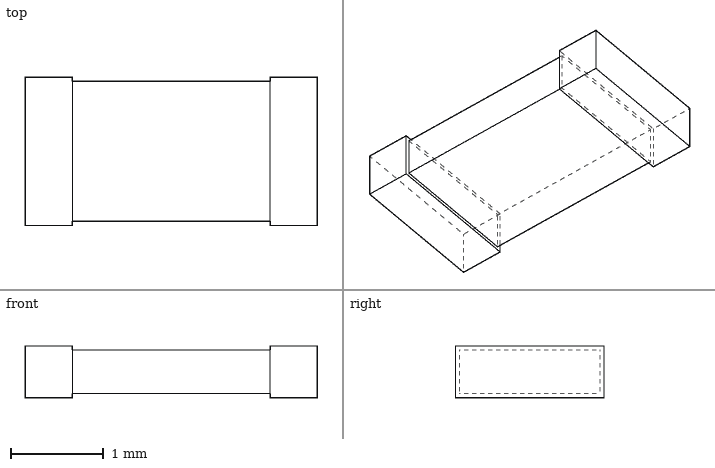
import cadquery as cq

length = 3.15
width = 1.6
height = 0.56

terminal_length = 0.51
step = 0.045

body_length = length - 2 * terminal_length
body_width = width - 2 * step
body_height = height - 2 * step


def make_body():
    """Plain block that fills the gap between the two terminals."""
    return cq.Workplane("XY").box(body_length, body_width, body_height)


def make_terminal(side):
    """End block butted against the body; side is -1 or +1 along X."""
    center_x = side * (length - terminal_length) / 2
    return cq.Workplane("XY").box(terminal_length, width, height).translate((center_x, 0, 0))


body = make_body()
terminals = [make_terminal(side) for side in (-1, 1)]

result = cq.Compound.makeCompound([body.val(), *[terminal.val() for terminal in terminals]])